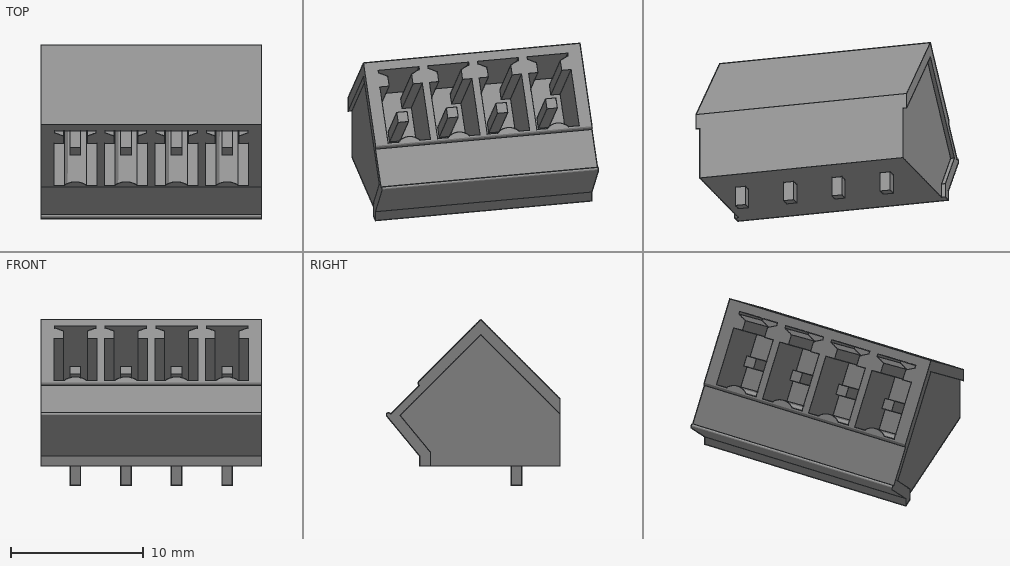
import cadquery as cq
import math


BEND_ANGLE = math.radians(45)
HALF_DIAGONAL = math.sqrt(0.5)

pin_count = 4
pitch = 3.8
pin_size = 0.8
leg_drop = 1.45
leg_y = -3.3
tip_depth = 1.26
tip_along_face = 4.14

length = 16.63
depth = 13.1
ridge_y = -5.99
ridge_z = 11.06
back_z = ridge_z + ridge_y
foot_y = -10.6
chin_angle = math.radians(50.5)
face_length = 6.57
step_radius = 0.23
lip_radius = 0.17

recess_border = 0.81
recess_depth = 0.3

socket_width = 3.26
socket_top = 2.01
socket_bottom = 6.49
socket_depth = 5.99
neck_width = 1.83
keyway_width = 3.13
keyway_top = 0.7
keyway_side_end = 0.9
keyway_taper_end = 1.23
rib_width = 1.65
rib_height = 0.37

face_plane_sum = ridge_z - ridge_y
lip_y = lip_radius - depth
lip_z = face_plane_sum + lip_y - lip_radius / HALF_DIAGONAL

chin_top_y = lip_y - lip_radius * math.sin(chin_angle)
chin_top_z = lip_z - lip_radius * math.cos(chin_angle)
chin_slope = math.tan(chin_angle)
foot_z = chin_top_z - (foot_y - chin_top_y) * chin_slope

pin_centres = [(i - (pin_count - 1) / 2) * pitch for i in range(pin_count)]


def make_body():
    """Solid housing block with its rounded step and front bead."""
    step_top_y = ridge_y - face_length * HALF_DIAGONAL
    step_top_z = ridge_z - face_length * HALF_DIAGONAL
    step_bottom_z = step_top_z - step_radius / HALF_DIAGONAL
    step_centre_y = step_top_y + step_radius * HALF_DIAGONAL
    step_centre_z = step_top_z - step_radius * HALF_DIAGONAL

    bead_start_y = lip_y + lip_radius * HALF_DIAGONAL
    bead_start_z = lip_z + lip_radius * HALF_DIAGONAL
    bead_base_rise = (step_radius - lip_radius) * HALF_DIAGONAL

    return (
        cq.Workplane("YZ")
        .moveTo(0, 0)
        .lineTo(0, back_z)
        .lineTo(ridge_y, ridge_z)
        .lineTo(step_top_y, step_top_z)
        .threePointArc((step_centre_y - step_radius, step_centre_z), (step_top_y, step_bottom_z))
        .lineTo(bead_start_y + bead_base_rise, bead_start_z - bead_base_rise)
        .lineTo(bead_start_y, bead_start_z)
        .threePointArc((-depth, lip_z), (chin_top_y, chin_top_z))
        .lineTo(foot_y, foot_z)
        .lineTo(foot_y, 0)
        .close()
        .extrude(length / 2, both=True)
    )


def make_end_recess():
    """Plate-shaped cutter for one end face, open at the back and the bottom, starting at X = 0."""
    corner_y = (foot_z + foot_y * chin_slope - face_plane_sum) / (1 + chin_slope)
    corner_z = face_plane_sum + corner_y
    outline = [
        (recess_border, -recess_border),
        (recess_border, back_z - recess_border),
        (ridge_y, ridge_z),
        (corner_y, corner_z),
        (foot_y, foot_z),
        (foot_y, -recess_border),
    ]
    return (
        cq.Workplane("YZ")
        .polyline(outline)
        .close()
        .offset2D(-recess_border, "intersection")
        .extrude(recess_depth)
    )


def make_socket(x):
    """Cutter for one keyed socket, sunk square to the mating face."""
    mating_face = cq.Plane(origin=(x, ridge_y, ridge_z), xDir=(1, 0, 0), normal=(0, -1, 1))
    return (
        cq.Workplane(mating_face)
        .moveTo(-keyway_width / 2, -keyway_top)
        .lineTo(keyway_width / 2, -keyway_top)
        .lineTo(keyway_width / 2, -keyway_side_end)
        .lineTo(neck_width / 2, -keyway_taper_end)
        .lineTo(neck_width / 2, -socket_top)
        .lineTo(socket_width / 2, -socket_top)
        .lineTo(socket_width / 2, -socket_bottom)
        .lineTo(rib_width / 2, -socket_bottom)
        .threePointArc((0, rib_height - socket_bottom), (-rib_width / 2, -socket_bottom))
        .lineTo(-socket_width / 2, -socket_bottom)
        .lineTo(-socket_width / 2, -socket_top)
        .lineTo(-neck_width / 2, -socket_top)
        .lineTo(-neck_width / 2, -keyway_taper_end)
        .lineTo(-keyway_width / 2, -keyway_side_end)
        .close()
        .extrude(-socket_depth)
    )


def make_pin(x):
    """Square pin: a vertical leg bent 45 degrees forward, square to the mating face."""
    half = pin_size / 2
    tip_y = ridge_y + (tip_depth - tip_along_face) * HALF_DIAGONAL
    tip_z = ridge_z - (tip_depth + tip_along_face) * HALF_DIAGONAL
    bend_z = tip_z + tip_y - leg_y
    bend_shift = half * math.tan(BEND_ANGLE / 2)
    tip_half = half * HALF_DIAGONAL
    return (
        cq.Workplane("YZ", origin=(x, 0, 0))
        .moveTo(leg_y + half, -leg_drop)
        .lineTo(leg_y + half, bend_z + bend_shift)
        .lineTo(tip_y + tip_half, tip_z + tip_half)
        .lineTo(tip_y - tip_half, tip_z - tip_half)
        .lineTo(leg_y - half, bend_z - bend_shift)
        .lineTo(leg_y - half, -leg_drop)
        .close()
        .extrude(half, both=True)
    )


def make_housing(pins):
    """Housing with end recesses, sockets and a fitting passage for each pin."""
    housing = make_body()
    for recess_start in (-length / 2, length / 2 - recess_depth):
        housing = housing.cut(make_end_recess().translate((recess_start, 0, 0)))
    for x in pin_centres:
        housing = housing.cut(make_socket(x))
    for pin in pins:
        housing = housing.cut(pin)
    return housing


pins = [make_pin(x) for x in pin_centres]
housing = make_housing(pins)

result = cq.Compound.makeCompound([housing.val(), *[pin.val() for pin in pins]])